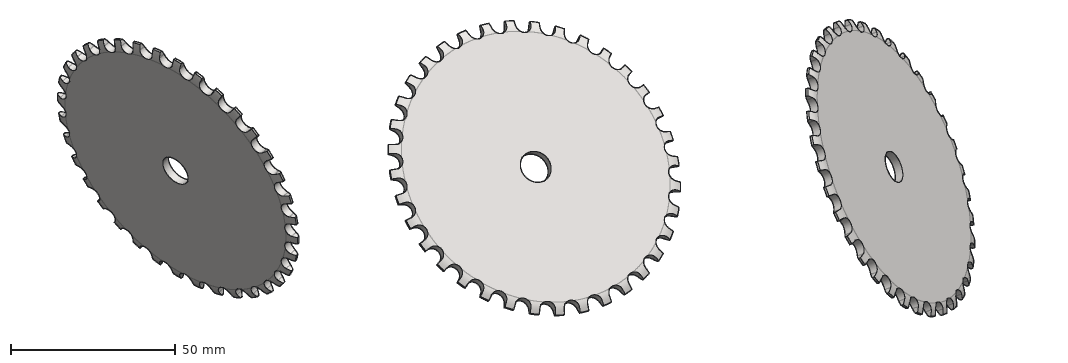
import cadquery as cq
import math

tip_diameter = 95.0
thickness = 2.8
bore_diameter = 10.0
tooth_count = 36
face_radius = 43.7
root_radius = 43.4
tooth_width = 2.9
tip_thickness = 0.8

tip_radius = tip_diameter / 2
bore_radius = bore_diameter / 2
half_thickness = thickness / 2
half_tip = tip_thickness / 2
pitch_angle = 360 / tooth_count
half_pitch = math.radians(pitch_angle / 2)

gap_radius = (root_radius * math.sin(half_pitch) - tooth_width / 2) / (1 - math.sin(half_pitch))
gap_center = root_radius + gap_radius


def make_blank():
    """Bored disc with curved rim flanks, revolved about the Y axis."""
    rim_height = tip_radius - face_radius
    flank_inset = half_thickness - half_tip
    flank_radius = (rim_height**2 + flank_inset**2) / (2 * flank_inset)
    half_sweep = math.asin(rim_height / flank_radius) / 2
    mid_radius = face_radius + flank_radius * math.sin(half_sweep)
    mid_height = half_thickness - flank_radius * (1 - math.cos(half_sweep))
    return (
        cq.Workplane("XY")
        .moveTo(bore_radius, -half_thickness)
        .lineTo(face_radius, -half_thickness)
        .threePointArc((mid_radius, -mid_height), (tip_radius, -half_tip))
        .lineTo(tip_radius, half_tip)
        .threePointArc((mid_radius, mid_height), (face_radius, half_thickness))
        .lineTo(bore_radius, half_thickness)
        .close()
        .revolve(360, (0, 0, 0), (0, 1, 0))
    )


def make_gap_cutter():
    """Tooth gap along +X: round bottom, sides parallel to the neighbouring teeth."""
    outer_x = tip_radius + gap_radius
    tangent_x = gap_center - gap_radius * math.sin(half_pitch)
    tangent_z = gap_radius * math.cos(half_pitch)
    outer_z = tangent_z + (outer_x - tangent_x) * math.tan(half_pitch)
    return (
        cq.Workplane("XZ")
        .moveTo(tangent_x, -tangent_z)
        .threePointArc((root_radius, 0), (tangent_x, tangent_z))
        .lineTo(outer_x, outer_z)
        .lineTo(outer_x, -outer_z)
        .close()
        .extrude(thickness, both=True)
    )


result = make_blank()
gap_cutter = make_gap_cutter()
for index in range(tooth_count):
    gap_angle = (index + 0.5) * pitch_angle
    result = result.cut(gap_cutter.rotate((0, 0, 0), (0, 1, 0), gap_angle))